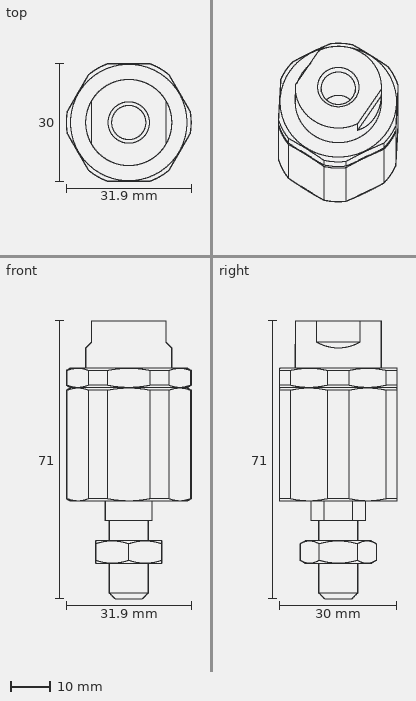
import cadquery as cq
import math

total_height = 71.0
hex_top = 59.0
groove_height = 53.95
housing_bottom = 25.0
collar_bottom = 20.0
nut_bottom = 9.0
nut_thickness = 5.95

housing_flats = 30.0
housing_corner_diameter = 31.95
housing_end_diameter = 29.75
neck_diameter = 22.0
neck_flats = 19.0
neck_flat_length = 5.4
bore_diameter = 8.7
bore_mouth_diameter = 10.6
bore_depth = 20.0

stud_diameter = 10.0
stud_tip_chamfer = 1.55
collar_diameter = 14.0
collar_flats = 12.0

nut_flats = 16.9
nut_end_diameter = 16.5

half_corner_angle = 30.0
hex_chamfer_angle = 30.0


def cylinder(diameter, bottom, top):
    return cq.Workplane("XY").workplane(offset=bottom).circle(diameter / 2).extrude(top - bottom)


def width_across_corners(flats):
    return flats / math.cos(math.radians(half_corner_angle))


def hexagon(flats, corner_diameter, end_diameter, bottom, top):
    """Hexagon with corners on X, trimmed by a cylinder with a conical chamfer at each end."""
    outline = cq.Workplane("XY").workplane(offset=bottom).polygon(6, width_across_corners(flats))
    prism = outline.extrude(top - bottom)
    chamfer_width = (corner_diameter - end_diameter) / 2
    chamfer_height = chamfer_width * math.tan(math.radians(hex_chamfer_angle))
    corner, end = corner_diameter / 2, end_diameter / 2
    profile = [
        (0, bottom),
        (end, bottom),
        (corner, bottom + chamfer_height),
        (corner, top - chamfer_height),
        (end, top),
        (0, top),
    ]
    envelope = cq.Workplane("XZ").polyline(profile).close().revolve(360, (0, 0, 0), (0, 1, 0))
    return prism.intersect(envelope)


def make_neck():
    """Round neck with two flats whose lower ends run out at 45 degrees."""
    neck = cylinder(neck_diameter, hex_top, total_height)
    outer = neck_diameter / 2
    flat = neck_flats / 2
    runout_top = total_height - neck_flat_length
    runout_bottom = runout_top - (outer - flat)
    profile = [
        (-outer, hex_top),
        (outer, hex_top),
        (outer, runout_bottom),
        (flat, runout_top),
        (flat, total_height),
        (-flat, total_height),
        (-flat, runout_top),
        (-outer, runout_bottom),
    ]
    flats = cq.Workplane("XZ").polyline(profile).close().extrude(outer, both=True)
    return neck.intersect(flats)


def make_housing():
    lower_hexagon = hexagon(
        housing_flats, housing_corner_diameter, housing_end_diameter, housing_bottom, groove_height
    )
    upper_hexagon = hexagon(
        housing_flats, housing_corner_diameter, housing_end_diameter, groove_height, hex_top
    )
    body = lower_hexagon.union(upper_hexagon).union(make_neck())
    bore = cylinder(bore_diameter, total_height - bore_depth, total_height)
    mouth_chamfer = (bore_mouth_diameter - bore_diameter) / 2
    bore_rim = cq.selectors.RadiusNthSelector(0)
    return body.cut(bore).faces(">Z").edges("%CIRCLE").edges(bore_rim).chamfer(mouth_chamfer)


def make_stud():
    shank = cylinder(stud_diameter, 0, collar_bottom).faces("<Z").chamfer(stud_tip_chamfer)
    collar = cylinder(collar_diameter, collar_bottom, housing_bottom)
    flats = (
        cq.Workplane("XY")
        .workplane(offset=collar_bottom)
        .rect(collar_flats, collar_diameter)
        .extrude(housing_bottom - collar_bottom)
    )
    return shank.union(collar.intersect(flats))


def make_nut():
    nut_top = nut_bottom + nut_thickness
    across_corners = width_across_corners(nut_flats)
    blank = hexagon(nut_flats, across_corners, nut_end_diameter, nut_bottom, nut_top)
    blank = blank.rotate((0, 0, 0), (0, 0, 1), half_corner_angle)
    return blank.cut(cylinder(stud_diameter, nut_bottom, nut_top))


housing = make_housing()
stud = make_stud()
nut = make_nut()

result = cq.Compound.makeCompound([housing.val(), stud.val(), nut.val()])